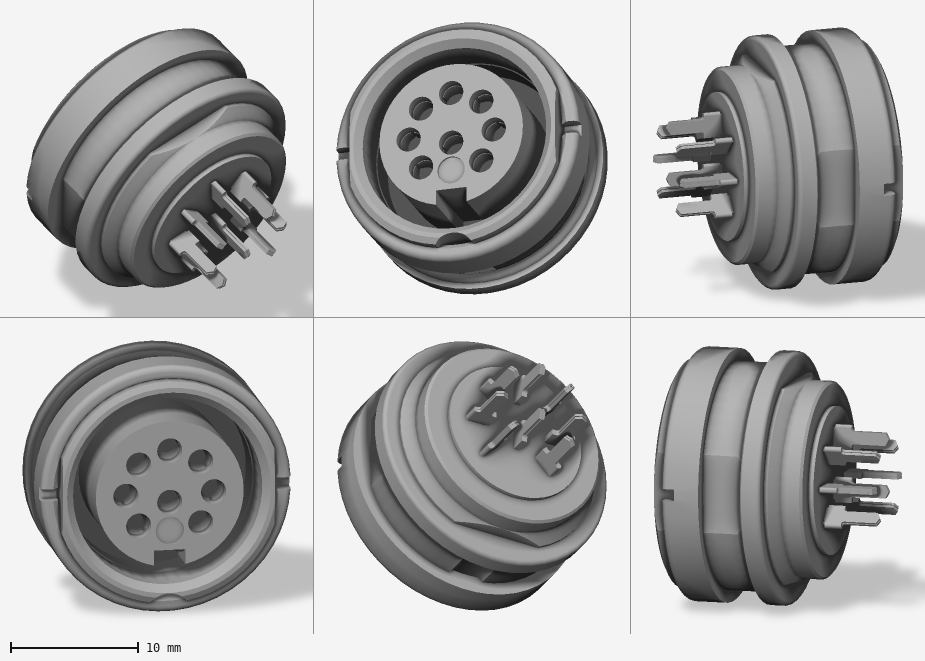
import cadquery as cq


shell_front = 0.25
body_radius = 9.0
body_front_chamfer = (0.28, 0.48)
body_flat_width = 16.9
relief_start = 7.05
relief_end_radius = 8.7
flange_front = 7.8
flange_rear = 9.28
flange_radius = 10.0
flange_fillet = 0.32
shoulder_radius = 8.65
shoulder_end = 9.55
neck_start = 10.38
neck_radius = 7.8
shell_rear = 12.1
neck_chamfer = 0.2

mouth_radius = 8.15
bore_radius = 15.1 / 2
mouth_depth = mouth_radius - bore_radius
bore_step = 4.3
inner_bore_radius = 14.9 / 2
bore_floor = 7.0

keyway_radius = 1.85
keyway_top = -8.15
keyway_end = 7.48

ring_front = 1.28
ring_rear = 4.3
ring_radius = 10.0
ring_fillet = 0.5
ring_bore_radius = 8.6
ring_mouth_radius = 18.1 / 2
ring_slot_width = 0.98
ring_slot_depth = 1.05

seal_section_radius = 0.4
seal_mean_radius = 9.15
seal_center_x = keyway_end + seal_section_radius

insert_radius = 11.8 / 2
insert_rear_radius = 11.7 / 2
insert_rear = 12.5
insert_key_width = 2.5
insert_key_top = -4.55
badge_diameter = 2.25
badge_z = -2.98
badge_depth = 0.2

contact_circle_radius = 3.5
contact_pitch_angle = 45
contact_steps_each_side = 3
middle_contact_z = -0.68
hole_radius = 1.0
hole_depth = 1.0
funnel_depth = 1.0
funnel_radius = 0.95
funnel_half_width = 0.9
funnel_half_height = 0.65
funnel_slit = 0.25

pin_thickness = 0.45
pin_neck_thickness = 0.35
pin_slit = 0.08
pin_collar_start = 12.65
pin_collar_end = 13.98
pin_collar_width = 2.0
pin_collar_round = 0.2
pin_neck_width = 1.55
pin_tail_width = 1.0
pin_shoulder_fillet = 0.2
pin_end = 17.0
pin_tip_length = 0.25


def turned(points):
    """Solid of revolution about X from (x, radius) points."""
    return cq.Workplane("XY").polyline(points).close().revolve(360, (0, 0, 0), (1, 0, 0))


def cylinder(start, end, radius, y=0.0, z=0.0):
    """Cylinder along X."""
    return cq.Workplane("YZ", origin=(start, y, z)).circle(radius).extrude(end - start)


def block(start, end, width_y, width_z):
    """Box from x = start to x = end, centred on the axis."""
    return cq.Workplane("YZ", origin=(start, 0, 0)).rect(width_y, width_z).extrude(end - start)


def make_thread_body():
    chamfer_length, chamfer_height = body_front_chamfer
    body = turned([
        (shell_front, 0),
        (shell_front, body_radius - chamfer_height),
        (shell_front + chamfer_length, body_radius),
        (relief_start, body_radius),
        (flange_front, relief_end_radius),
        (flange_front, 0),
    ])
    body = body.intersect(block(shell_front, flange_front, body_flat_width, 2 * body_radius))
    keyway = cylinder(shell_front, keyway_end, keyway_radius, z=keyway_top - keyway_radius)
    return body.cut(keyway)


def make_flange():
    flange = cylinder(flange_front, flange_rear, flange_radius)
    return flange.faces(">X").edges().fillet(flange_fillet)


def make_rear_neck():
    neck = turned([
        (flange_rear, 0),
        (flange_rear, shoulder_radius),
        (shoulder_end, shoulder_radius),
        (neck_start, neck_radius),
        (shell_rear - neck_chamfer, neck_radius),
        (shell_rear, neck_radius - neck_chamfer),
        (shell_rear, 0),
    ])
    return neck.intersect(block(flange_rear, shell_rear, 2 * shoulder_radius, 2 * neck_radius))


def make_socket():
    return turned([
        (shell_front, 0),
        (shell_front, mouth_radius),
        (shell_front + mouth_depth, bore_radius),
        (bore_step, bore_radius),
        (bore_step, inner_bore_radius),
        (bore_floor, inner_bore_radius),
        (bore_floor, 0),
    ])


def make_coupling_ring():
    ring = cylinder(ring_front, ring_rear, ring_radius)
    ring = ring.faces("<X").edges().fillet(ring_fillet)
    opening = turned([
        (ring_front, 0),
        (ring_front, ring_mouth_radius),
        (ring_front + ring_mouth_radius - ring_bore_radius, ring_bore_radius),
        (ring_rear, ring_bore_radius),
        (ring_rear, 0),
    ])
    slot = block(ring_front, ring_front + ring_slot_depth, 2 * ring_radius, ring_slot_width)
    return ring.cut(opening).cut(slot)


def make_seal():
    section = cq.Workplane("XY").center(seal_center_x, seal_mean_radius).circle(seal_section_radius)
    axis_start = (-seal_center_x, -seal_mean_radius, 0)
    axis_end = (0, -seal_mean_radius, 0)
    return section.revolve(360, axis_start, axis_end)


def make_insert():
    front = cylinder(0, bore_floor, insert_radius)
    key_height = insert_radius + insert_key_top
    key_center_z = insert_key_top - key_height / 2
    key = block(0, bore_floor, insert_key_width, key_height).translate((0, 0, key_center_z))
    badge = cylinder(0, badge_depth, badge_diameter / 2, z=badge_z)
    rear = cylinder(bore_floor, insert_rear, insert_rear_radius)
    return front.cut(key).cut(badge).union(rear)


def make_contact_hole():
    """Straight entry, then a funnel narrowing to an oval, slit at both sides; its narrow way is along Z."""
    entry = cylinder(0, hole_depth, hole_radius)
    funnel = (
        cq.Workplane("YZ", origin=(hole_depth, 0, 0))
        .circle(funnel_radius)
        .workplane(offset=funnel_depth)
        .ellipse(funnel_half_width, funnel_half_height)
        .loft()
    )
    slit = block(hole_depth, hole_depth + funnel_depth, 2 * hole_radius, funnel_slit)
    slit = slit.intersect(cylinder(hole_depth, hole_depth + funnel_depth, hole_radius))
    return entry.union(funnel).union(slit)


def make_pin_plate(thickness, inset):
    """Tail of a solder pin, in the XZ plane, with its edges drawn in by the inset."""
    half_width = pin_tail_width / 2 - inset
    end = pin_end - inset
    root_end = pin_collar_end + pin_shoulder_fillet
    return (
        cq.Workplane("XZ")
        .moveTo(pin_collar_end, half_width + pin_shoulder_fillet)
        .lineTo(pin_collar_end, -half_width - pin_shoulder_fillet)
        .radiusArc((root_end, -half_width), pin_shoulder_fillet)
        .lineTo(end - pin_tip_length, -half_width)
        .lineTo(end, 0)
        .lineTo(end - pin_tip_length, half_width)
        .lineTo(root_end, half_width)
        .radiusArc((pin_collar_end, half_width + pin_shoulder_fillet), pin_shoulder_fillet)
        .close()
        .extrude(thickness / 2, both=True)
    )


def make_pin():
    """Solder pin of folded sheet: neck, collar rounded at the outer end, and a slit tail."""
    neck = block(insert_rear, pin_collar_start, pin_neck_thickness, pin_neck_width)
    collar = block(pin_collar_start, pin_collar_end, pin_thickness, pin_collar_width)
    collar = collar.faces(">Z").edges("|X").fillet(pin_collar_round)
    slit = make_pin_plate(pin_slit, 0).cut(make_pin_plate(pin_slit, pin_slit))
    tail = make_pin_plate(pin_thickness, 0).cut(slit)
    return neck.union(collar).union(tail)


def at_contacts(shape):
    """Copies of a contact shape at all eight places, turned to point at the axis."""
    copies = shape.translate((0, 0, middle_contact_z))
    for step in range(-contact_steps_each_side, contact_steps_each_side + 1):
        placed = shape.translate((0, 0, contact_circle_radius))
        placed = placed.rotate((0, 0, 0), (1, 0, 0), step * contact_pitch_angle)
        copies = copies.union(placed)
    return copies


shell = make_thread_body().union(make_flange()).union(make_rear_neck()).cut(make_socket())
shell = shell.union(make_coupling_ring()).union(make_seal())
insert = make_insert().cut(at_contacts(make_contact_hole()))
result = shell.union(insert).union(at_contacts(make_pin()))